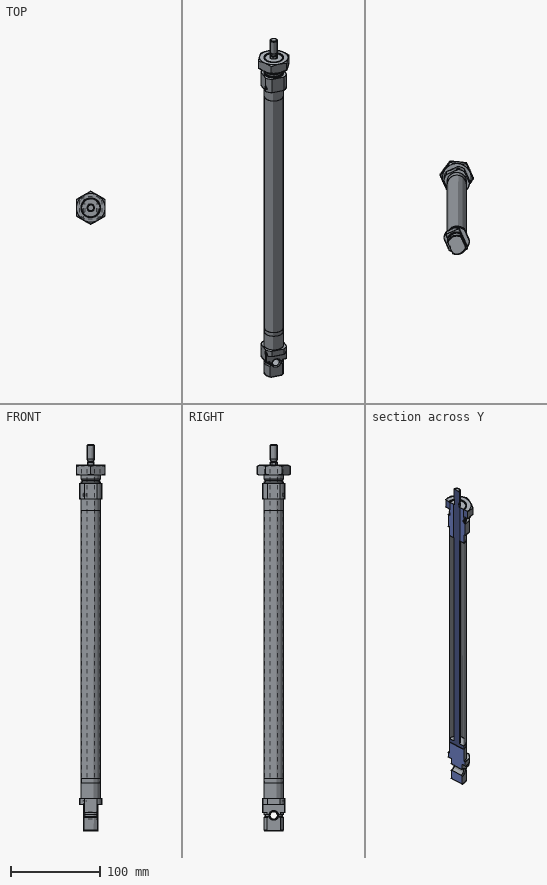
import cadquery as cq

TOTAL_LENGTH = 432.0

CAP_WIDTH = 25.0
CAP_CORNER_DIAMETER = 29.0
REAR_CAP_BOTTOM = 20.5
REAR_SHOULDER = 29.5
REAR_CAP_TOP = 36.5
FRONT_CAP_BOTTOM = 371.5
FRONT_CAP_TOP = 389.0

TUBE_DIAMETER = 22.0
BORE_DIAMETER = 20.7
BORE_BOTTOM = 53.5
BORE_TOP = 358.5

NECK_DIAMETER = TUBE_DIAMETER
RELIEF_DIAMETER = 19.5
RELIEF_LENGTH = 3.5
FRONT_COLLAR_LENGTH = 1.5
REAR_COLLAR_LENGTH = 2.0
NECK_TOP = 409.0
CLEVIS_CHAMFER = 1.0

TONGUE_THICKNESS = 16.0
PIN_HOLE_DIAMETER = 8.0
PIN_HOLE_HEIGHT = 17.3
PIN_HOLE_CHAMFER = 1.5

SCREW_HOLE_DIAMETER = 4.0
SCREW_HOLE_DEPTH = 2.0
SCREW_HOLE_ANGLE = 120.0
SCREW_HOLE_INSET = 4.5

NUT_ACROSS_CORNERS = 37.0
NUT_THICKNESS = 11.2
NUT_BORE_DIAMETER = 20.5
NUT_TURN = 30.0
NUT_EDGE_HEIGHT = 1.5
NUT_EDGE_WIDTH = 2.5

PISTON_THICKNESS = 4.8
ROD_DIAMETER = 8.0
ROD_TIP_CHAMFER = 1.0
THREAD_LENGTH = 16.0
UNDERCUT_DIAMETER = 6.5
UNDERCUT_LENGTH = 4.0
UNDERCUT_CONE = 2.5
WRENCH_FLATS_WIDTH = 7.0

NUT_BOTTOM = NECK_TOP - NUT_THICKNESS


def cylinder(diameter, bottom, top):
    return cq.Workplane("XY").workplane(offset=bottom).circle(diameter / 2).extrude(top - bottom)


def block(width, depth, bottom, top):
    return cq.Workplane("XY").workplane(offset=bottom).rect(width, depth).extrude(top - bottom)




def cap(bottom, top):
    return block(CAP_WIDTH, CAP_WIDTH, bottom, top).intersect(cylinder(CAP_CORNER_DIAMETER, bottom, top))


def relief_groove(collar_end, direction):
    """Ring cutter next to a collar, with a sloped flank on the side away from the cap."""
    cutter_radius = CAP_WIDTH
    neck_radius = NECK_DIAMETER / 2
    relief_radius = RELIEF_DIAMETER / 2
    far_end = collar_end + direction * RELIEF_LENGTH
    slope_start = far_end - direction * (neck_radius - relief_radius)
    return (
        cq.Workplane("XZ")
        .moveTo(relief_radius, collar_end)
        .lineTo(cutter_radius, collar_end)
        .lineTo(cutter_radius, far_end)
        .lineTo(neck_radius, far_end)
        .lineTo(relief_radius, slope_start)
        .close()
        .revolve(360, (0, 0, 0), (0, 1, 0))
    )


def make_front_end():
    neck = cylinder(NECK_DIAMETER, FRONT_CAP_TOP, NUT_BOTTOM)
    neck = neck.cut(relief_groove(FRONT_CAP_TOP + FRONT_COLLAR_LENGTH, 1))
    core_inside_nut = cylinder(NUT_BORE_DIAMETER, NUT_BOTTOM, NECK_TOP)
    return cap(FRONT_CAP_BOTTOM, FRONT_CAP_TOP).union(neck).union(core_inside_nut)


def pin_hole():
    radius = PIN_HOLE_DIAMETER / 2
    half_thickness = TONGUE_THICKNESS / 2
    rim_radius = radius + PIN_HOLE_CHAMFER
    return (
        cq.Workplane("XY")
        .moveTo(-half_thickness, 0)
        .lineTo(-half_thickness, rim_radius)
        .lineTo(PIN_HOLE_CHAMFER - half_thickness, radius)
        .lineTo(half_thickness - PIN_HOLE_CHAMFER, radius)
        .lineTo(half_thickness, rim_radius)
        .lineTo(half_thickness, 0)
        .close()
        .revolve(360, (0, 0, 0), (1, 0, 0))
        .translate((0, 0, PIN_HOLE_HEIGHT))
    )


def make_rear_end():
    neck = cylinder(NECK_DIAMETER, 0, REAR_CAP_BOTTOM).faces("<Z").chamfer(CLEVIS_CHAMFER)
    neck = neck.cut(relief_groove(REAR_CAP_BOTTOM - REAR_COLLAR_LENGTH, -1))
    tongue = neck.union(cap(REAR_CAP_BOTTOM, REAR_SHOULDER))
    tongue = tongue.intersect(block(TONGUE_THICKNESS, CAP_WIDTH, 0, REAR_SHOULDER))
    return tongue.union(cap(REAR_SHOULDER, REAR_CAP_TOP)).cut(pin_hole())


def screw_hole(height):
    hole = cq.Workplane("YZ").workplane(offset=CAP_CORNER_DIAMETER / 2 - SCREW_HOLE_DEPTH)
    hole = hole.center(0, height).circle(SCREW_HOLE_DIAMETER / 2).extrude(2 * SCREW_HOLE_DEPTH)
    return hole.rotate((0, 0, 0), (0, 0, 1), SCREW_HOLE_ANGLE)


def make_housing():
    housing = cylinder(TUBE_DIAMETER, REAR_CAP_TOP, FRONT_CAP_BOTTOM)
    housing = housing.union(make_rear_end()).union(make_front_end())
    housing = housing.cut(cylinder(BORE_DIAMETER, BORE_BOTTOM, BORE_TOP))
    housing = housing.cut(cylinder(ROD_DIAMETER, BORE_TOP, NECK_TOP))
    for height in (REAR_CAP_TOP - SCREW_HOLE_INSET, FRONT_CAP_BOTTOM + SCREW_HOLE_INSET):
        housing = housing.cut(screw_hole(height))
    return housing




def make_nut():
    hexagon = cq.Workplane("XY").workplane(offset=NUT_BOTTOM)
    hexagon = hexagon.polygon(6, NUT_ACROSS_CORNERS).extrude(NUT_THICKNESS)
    hexagon = hexagon.rotate((0, 0, 0), (0, 0, 1), NUT_TURN)
    blank = cylinder(NUT_ACROSS_CORNERS, NUT_BOTTOM, NECK_TOP)
    blank = blank.faces("<Z or >Z").chamfer(NUT_EDGE_HEIGHT, NUT_EDGE_WIDTH)
    nut = hexagon.intersect(blank).cut(cylinder(NUT_BORE_DIAMETER, NUT_BOTTOM, NECK_TOP))
    countersink = (NECK_DIAMETER - NUT_BORE_DIAMETER) / 2
    return nut.faces(">Z").edges("%CIRCLE").edges(cq.selectors.RadiusNthSelector(0)).chamfer(countersink)




def make_piston_rod():
    thread_bottom = TOTAL_LENGTH - THREAD_LENGTH
    undercut_bottom = thread_bottom - UNDERCUT_LENGTH
    rod_radius = ROD_DIAMETER / 2
    undercut_radius = UNDERCUT_DIAMETER / 2
    piston_radius = BORE_DIAMETER / 2
    piston_top = BORE_BOTTOM + PISTON_THICKNESS
    rod = (
        cq.Workplane("XZ")
        .moveTo(0, BORE_BOTTOM)
        .lineTo(piston_radius, BORE_BOTTOM)
        .lineTo(piston_radius, piston_top)
        .lineTo(rod_radius, piston_top)
        .lineTo(rod_radius, undercut_bottom)
        .lineTo(undercut_radius, undercut_bottom)
        .lineTo(undercut_radius, thread_bottom - UNDERCUT_CONE)
        .lineTo(rod_radius, thread_bottom)
        .lineTo(rod_radius, TOTAL_LENGTH - ROD_TIP_CHAMFER)
        .lineTo(rod_radius - ROD_TIP_CHAMFER, TOTAL_LENGTH)
        .lineTo(0, TOTAL_LENGTH)
        .close()
        .revolve(360, (0, 0, 0), (0, 1, 0))
    )
    flats_ring = cylinder(2 * ROD_DIAMETER, NECK_TOP, undercut_bottom)
    flats = flats_ring.cut(block(WRENCH_FLATS_WIDTH, 2 * ROD_DIAMETER, NECK_TOP, undercut_bottom))
    return rod.cut(flats)


housing = make_housing()
nut = make_nut()
piston_rod = make_piston_rod()
result = cq.Compound.makeCompound([housing.val(), nut.val(), piston_rod.val()])